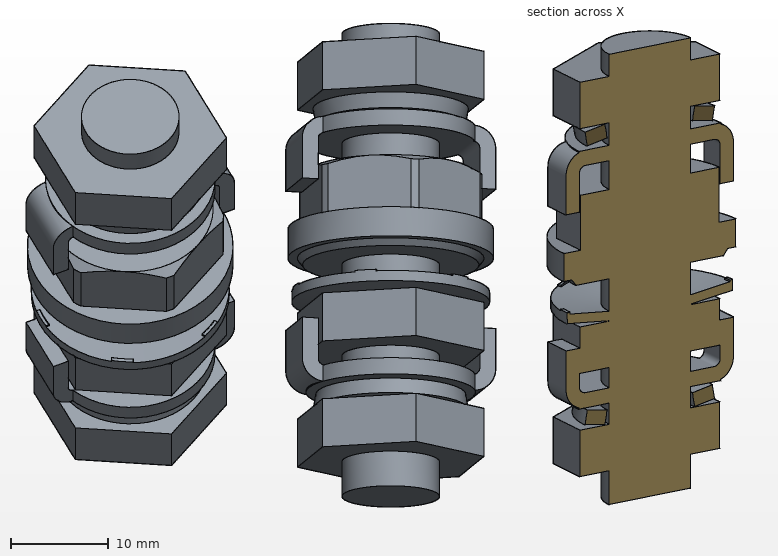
import cadquery as cq
import math

STUD_LENGTH = 48.6
STUD_RADIUS = 5.0
ASSEMBLY_TURN = -1.2

HEX_FLATS = 17.15
NUT_HEIGHT = 5.05
BOTTOM_NUT_Z = 3.65
MIDDLE_NUT_Z = 14.77
TOP_NUT_Z = 41.15

FLANGE_RADIUS = 10.55
FLANGE_Z = 25.05
FLANGE_THICKNESS = 3.05
FLANGE_HEX_FLATS = 17.0
FLANGE_HEX_HEIGHT = 5.95
FLANGE_HEX_CORNER_RADIUS = 9.55
HEX_CHAMFER_ANGLE = 30.0
SEAT_HEIGHT = 0.7
SEAT_TAPER = 0.55

TAB_PLATE_RADIUS = 8.7
TAB_PLATE_THICKNESS = 1.7
TAB_WIDTH = 6.55
TAB_LENGTH = 6.6
TAB_BEND_INNER_RADIUS = 0.7
LOWER_TAB_WASHER_Z = 10.95
UPPER_TAB_WASHER_Z = 38.8

CONE_RIM_RADIUS = 7.95
CONE_BORE_RADIUS = 5.5
CONE_THICKNESS = 1.6
CONE_TILT = 10.0

LOCK_RADIUS = 10.15
LOCK_RIM_HEIGHT = 1.05
LOCK_RIM_Z = 20.4
LOCK_TILT = 6.5
LUG_COUNT = 6
LUG_START_ANGLE = 30.0
LUG_WIDTH = 2.25
LUG_DEPTH = 0.4
LUG_RISE = 0.15

HEX_APOTHEM = HEX_FLATS / 2
FLANGE_HEX_APOTHEM = FLANGE_HEX_FLATS / 2
FLANGE_TOP_Z = FLANGE_Z + FLANGE_THICKNESS
TAB_OUTER_Y = HEX_APOTHEM + TAB_PLATE_THICKNESS
TAB_BEND_OUTER_RADIUS = TAB_BEND_INNER_RADIUS + TAB_PLATE_THICKNESS


def revolve_profile(points):
    """Solid of revolution about Z from (radius, height) points."""
    return cq.Workplane("XZ").polyline(points).close().revolve(360, (0, 0), (0, 1))


def make_hexagon(bottom_z, height, flats):
    corner_diameter = flats / math.cos(math.radians(30))
    return cq.Workplane("XY", origin=(0, 0, bottom_z)).polygon(6, corner_diameter).extrude(height)


def make_flange_nut():
    """Hexagon with turned, chamfered corners on a round flange with a tapered seat."""
    chamfer_width = FLANGE_HEX_CORNER_RADIUS - FLANGE_HEX_APOTHEM
    chamfer_drop = chamfer_width * math.tan(math.radians(HEX_CHAMFER_ANGLE))
    hex_top_z = FLANGE_TOP_Z + FLANGE_HEX_HEIGHT
    turned_envelope = revolve_profile([
        (0, FLANGE_TOP_Z),
        (FLANGE_HEX_CORNER_RADIUS, FLANGE_TOP_Z),
        (FLANGE_HEX_CORNER_RADIUS, hex_top_z - chamfer_drop),
        (FLANGE_HEX_APOTHEM, hex_top_z),
        (0, hex_top_z),
    ])
    hexagon = make_hexagon(FLANGE_TOP_Z, FLANGE_HEX_HEIGHT, FLANGE_HEX_FLATS).intersect(turned_envelope)
    flange_and_seat = revolve_profile([
        (0, FLANGE_Z - SEAT_HEIGHT),
        (FLANGE_HEX_CORNER_RADIUS - SEAT_TAPER, FLANGE_Z - SEAT_HEIGHT),
        (FLANGE_HEX_CORNER_RADIUS, FLANGE_Z),
        (FLANGE_RADIUS, FLANGE_Z),
        (FLANGE_RADIUS, FLANGE_TOP_Z),
        (0, FLANGE_TOP_Z),
    ])
    return flange_and_seat.union(hexagon)


def make_tab_washer(outer_face_z, tab_direction):
    """Round plate with two tabs bent along Z; tab_direction is +1 for up and -1 for down."""
    plate = (
        cq.Workplane("XY", origin=(0, 0, outer_face_z))
        .circle(TAB_PLATE_RADIUS)
        .extrude(tab_direction * TAB_PLATE_THICKNESS)
    )
    tab_end_z = outer_face_z + tab_direction * TAB_LENGTH
    bend_z = outer_face_z + tab_direction * TAB_BEND_OUTER_RADIUS
    bend_y = TAB_OUTER_Y - TAB_BEND_OUTER_RADIUS
    inner_face_z = outer_face_z + tab_direction * TAB_PLATE_THICKNESS
    diagonal = math.sqrt(0.5)

    def bend_middle(radius):
        return (bend_y + radius * diagonal, bend_z - tab_direction * radius * diagonal)

    tab = (
        cq.Workplane("YZ", origin=(-TAB_WIDTH / 2, 0, 0))
        .moveTo(0, outer_face_z)
        .lineTo(bend_y, outer_face_z)
        .threePointArc(bend_middle(TAB_BEND_OUTER_RADIUS), (TAB_OUTER_Y, bend_z))
        .lineTo(TAB_OUTER_Y, tab_end_z)
        .lineTo(HEX_APOTHEM, tab_end_z)
        .lineTo(HEX_APOTHEM, bend_z)
        .threePointArc(bend_middle(TAB_BEND_INNER_RADIUS), (bend_y, inner_face_z))
        .lineTo(0, inner_face_z)
        .close()
        .extrude(TAB_WIDTH)
    )
    return plate.union(tab).union(tab.mirror("XZ"))


def make_lock_washer():
    """Dished washer resting on the middle nut, with small lugs around its rim."""
    dish_drop = (LOCK_RADIUS - STUD_RADIUS) * math.tan(math.radians(LOCK_TILT))
    rim_top_z = LOCK_RIM_Z + LOCK_RIM_HEIGHT
    washer = revolve_profile([
        (0, LOCK_RIM_Z - dish_drop),
        (STUD_RADIUS, LOCK_RIM_Z - dish_drop),
        (LOCK_RADIUS, LOCK_RIM_Z),
        (LOCK_RADIUS, rim_top_z),
        (STUD_RADIUS, rim_top_z - dish_drop),
        (0, rim_top_z - dish_drop),
    ])
    lug_height = LOCK_RIM_HEIGHT + LUG_RISE
    rim_band = (
        cq.Workplane("XY", origin=(0, 0, LOCK_RIM_Z))
        .circle(LOCK_RADIUS)
        .circle(LOCK_RADIUS - LUG_DEPTH)
        .extrude(lug_height)
    )
    lug_bars = (
        cq.Workplane("XY", origin=(0, 0, LOCK_RIM_Z))
        .polarArray(LOCK_RADIUS, LUG_START_ANGLE, 360, LUG_COUNT)
        .rect(LUG_WIDTH, LUG_WIDTH)
        .extrude(lug_height)
    )
    return washer.union(rim_band.intersect(lug_bars))


def make_stud_assembly():
    """Stud carrying its nuts, tab washers and dished lock washer as one body."""
    assembly = cq.Workplane("XY").circle(STUD_RADIUS).extrude(STUD_LENGTH)
    for nut_z in (BOTTOM_NUT_Z, MIDDLE_NUT_Z, TOP_NUT_Z):
        assembly = assembly.union(make_hexagon(nut_z, NUT_HEIGHT, HEX_FLATS))
    assembly = assembly.union(make_flange_nut())
    assembly = assembly.union(make_tab_washer(LOWER_TAB_WASHER_Z, 1))
    assembly = assembly.union(make_tab_washer(UPPER_TAB_WASHER_Z, -1))
    assembly = assembly.union(make_lock_washer())
    assembly = assembly.rotate((0, 0, 0), (0, 0, 1), ASSEMBLY_TURN)
    return assembly.solids()


def make_conical_washer(nut_face_z, outward):
    """Tilted ring whose bore edge rests on a nut face; outward is +1 above it, -1 below it."""
    tilt = math.radians(CONE_TILT)
    rim_drop = (CONE_RIM_RADIUS - CONE_BORE_RADIUS) * math.tan(tilt)
    shift_in = CONE_THICKNESS * math.sin(tilt)
    shift_away = CONE_THICKNESS * math.cos(tilt)
    return revolve_profile([
        (CONE_BORE_RADIUS, nut_face_z),
        (CONE_RIM_RADIUS, nut_face_z + outward * rim_drop),
        (CONE_RIM_RADIUS - shift_in, nut_face_z + outward * (rim_drop + shift_away)),
        (CONE_BORE_RADIUS - shift_in, nut_face_z + outward * shift_away),
    ])


stud_assembly = make_stud_assembly()
conical_washer_seats = [(BOTTOM_NUT_Z + NUT_HEIGHT, 1), (TOP_NUT_Z, -1)]
conical_washers = [make_conical_washer(z, outward) for z, outward in conical_washer_seats]

result = cq.Compound.makeCompound([
    stud_assembly.val(),
    *[washer.val() for washer in conical_washers],
])